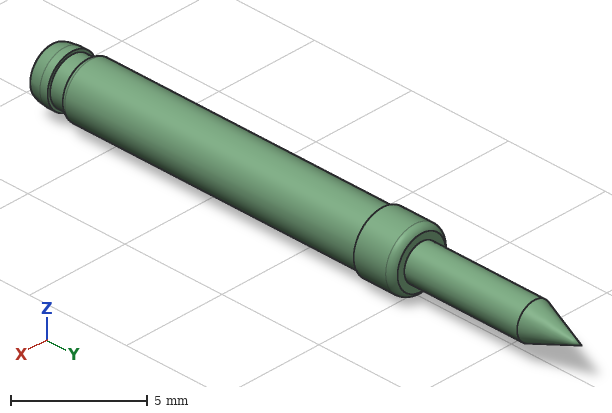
import cadquery as cq

total_length = 27.3

collar_radius = 1.5
barrel_radius = 1.36
neck_radius = 1.15
tail_radius = 1.28
plunger_radius = 0.9

tail_length = 1.0
neck_length = 0.75
barrel_end = 17.0
collar_length = 2.02
tip_length = 2.45

tail_round_length = 0.6
tail_round_drop = 0.1
barrel_round = barrel_radius - neck_radius
collar_round_length = 0.38
collar_round_drop = 0.25

neck_end = tail_length + neck_length
collar_end = barrel_end + collar_length
tip_start = total_length - tip_length

tail_side = (
    cq.Workplane("XY")
    .moveTo(0, barrel_end)
    .lineTo(barrel_radius, barrel_end)
    .lineTo(barrel_radius, neck_end + barrel_round)
    .tangentArcPoint((neck_radius, neck_end), relative=False)
    .lineTo(neck_radius, tail_length)
    .lineTo(tail_radius, tail_length)
    .lineTo(tail_radius, tail_round_length)
    .tangentArcPoint((tail_radius - tail_round_drop, 0), relative=False)
    .lineTo(0, 0)
    .close()
)

tip_side = (
    cq.Workplane("XY")
    .moveTo(0, barrel_end)
    .lineTo(collar_radius, barrel_end)
    .lineTo(collar_radius, collar_end - collar_round_length)
    .tangentArcPoint((collar_radius - collar_round_drop, collar_end), relative=False)
    .lineTo(plunger_radius, collar_end)
    .lineTo(plunger_radius, tip_start)
    .lineTo(0, total_length)
    .close()
)

def turn(profile):
    """Revolve a half profile a full turn about the Y axis."""
    return profile.revolve(360, (0, 0, 0), (0, 1, 0))

result = turn(tail_side).union(turn(tip_side))